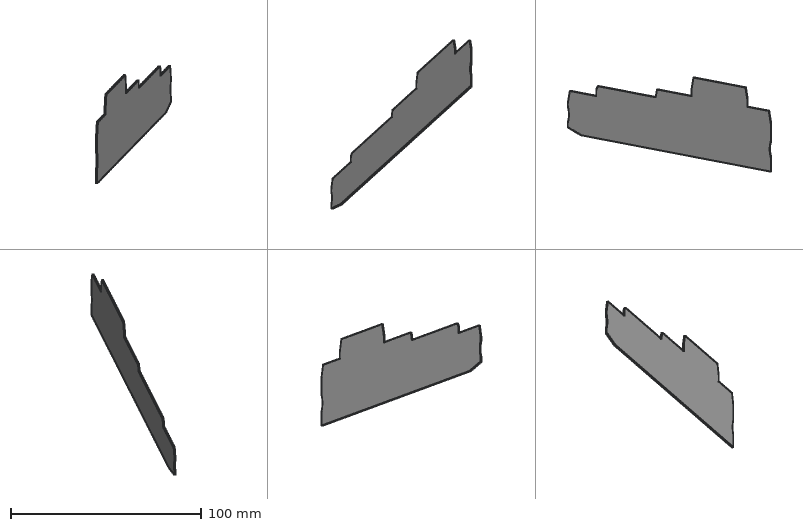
import cadquery as cq
import math

thickness = 0.8
length = 121.7
height = 44.4

back_shelf_z = 23.6
low_step_z = 29.3
main_step_z = 33.8

low_step_wall = 17.0
main_step_foot = 52.65
tower_back = 74.2
tower_front = 107.7

draft_angle = 10
draft = math.tan(math.radians(draft_angle))
corner_drop = 6.6
corner_inset = corner_drop * draft
main_step_inset = (main_step_z - low_step_z) * draft
low_corner_drop = 2.1
low_corner_inset = 0.95

dent_half_height = 4.4
dent_depth = 0.66
back_dent_z = 10.3
front_dent_z = 12.5

bevel_length = 8.1
bevel_height = 3.0


def plate_point(distance, z):
    """Sketch point from the distance to the +Y end and the height above the bottom edge."""
    return (length / 2 - distance, z - height / 2)


def line_through(outline, points):
    """Continue the outline with straight lines through (distance, height) points."""
    for distance, z in points:
        outline = outline.lineTo(*plate_point(distance, z))
    return outline


def end_dent(outline, edge, depth_position, center_z, direction):
    """Continue along an end edge through its dent; direction is +1 going up, -1 going down."""
    start_z = center_z - direction * dent_half_height
    end_z = center_z + direction * dent_half_height
    outline = line_through(outline, [(edge, start_z)])
    return outline.threePointArc(
        plate_point(depth_position, center_z),
        plate_point(edge, end_z),
    )


def back_end(outline):
    """+Y end, going up from the bottom edge to the back shelf."""
    outline = line_through(outline, [(0, bevel_height)])
    outline = end_dent(outline, 0, dent_depth, back_dent_z, 1)
    return line_through(
        outline,
        [
            (0, back_shelf_z - corner_drop),
            (corner_inset, back_shelf_z),
        ],
    )


def low_step(outline):
    """Step from the back shelf up to the low step."""
    return line_through(
        outline,
        [
            (low_step_wall, back_shelf_z),
            (low_step_wall, low_step_z - low_corner_drop),
            (low_step_wall + low_corner_inset, low_step_z),
        ],
    )


def main_step(outline):
    """Sloped step from the low step up to the main step."""
    return line_through(
        outline,
        [
            (main_step_foot, low_step_z),
            (main_step_foot + main_step_inset, main_step_z),
        ],
    )


def tower(outline):
    """Raised block with sloped corners standing on the main step."""
    return line_through(
        outline,
        [
            (tower_back, main_step_z),
            (tower_back, height - corner_drop),
            (tower_back + corner_inset, height),
            (tower_front - corner_inset, height),
            (tower_front, height - corner_drop),
            (tower_front, main_step_z),
        ],
    )


def front_end(outline):
    """-Y end, going down from the main step to the bottom edge."""
    outline = line_through(
        outline,
        [
            (length - corner_inset, main_step_z),
            (length, main_step_z - corner_drop),
        ],
    )
    outline = end_dent(outline, length, length - dent_depth, front_dent_z, -1)
    return line_through(outline, [(length, 0)])


def plate():
    """Flat plate in the YZ plane, centred on the origin."""
    outline = cq.Workplane("YZ").moveTo(*plate_point(bevel_length, 0))
    for section in (back_end, low_step, main_step, tower, front_end):
        outline = section(outline)
    return outline.close().extrude(thickness / 2, both=True)


result = plate()